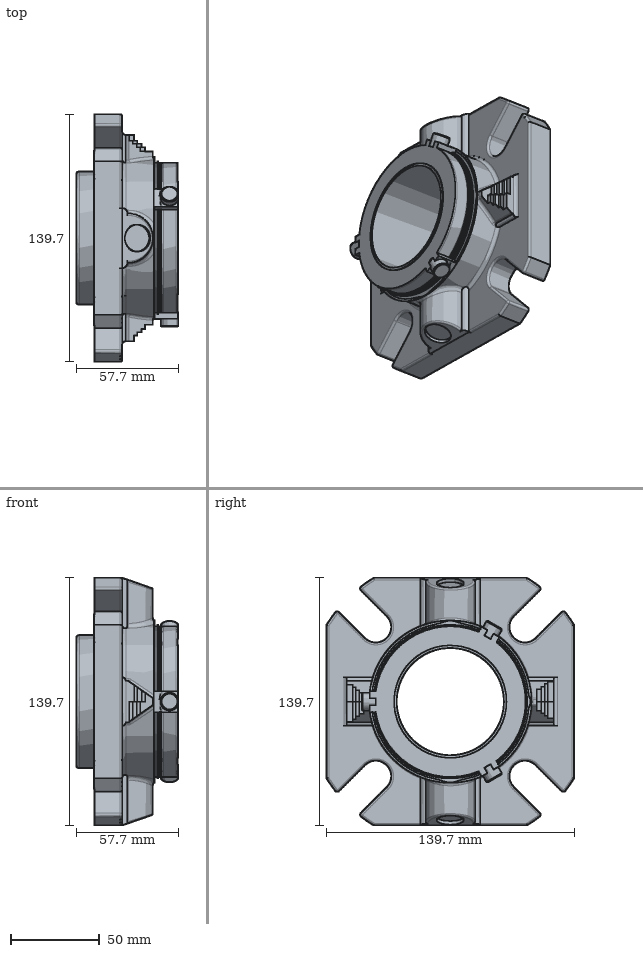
import cadquery as cq
import math


total_length = 57.7
bore_dia = 60.4
nose_dia = 75.2
nose_round = 1.7
sleeve_neck_dia = 64.0
sleeve_end_dia = 63.4

flange_size = 139.7
flange_corner_radius = 82.1
flange_front = 10.3
flange_back = 26.0
flange_back_round = 1.3
slot_width = 17.3
slot_center_offset = 42.0
slot_tip_round = 1.4
pad_dia = 98.5
pad_height = 0.4

hub_radius = 44.4
hub_end = 43.9
hub_root_radius = 2.0
hub_lip_radius = 45.8
hub_lip_thickness = 0.4

port_radius = 14.0
port_center_x = 29.3
port_root_radius = 3.0
port_slope = math.radians(19.2)
port_edge_round = 1.1
port_recess_dia = 15.2
port_recess_depth = 2.1
port_recess_x = 34.6

wedge_half_width = 11.7
wedge_tip_half_width = 2.0
wedge_shoulder_x = 29.3
wedge_tip_x = 43.3
wedge_root_radius = 2.0
highest_step_height = 58.3
step_heights = [55.0, 53.2, 51.3, 48.9]
step_ends = [32.7, 34.5, 36.9, 38.8]
step_offset = 2.7
wedge_corner_round = 1.1

ring_dia = 85.2
ring_end = 47.1
rib_dia = 86.8
rib_start = 45.7
rib_width = 0.5
collar_start = 48.0
collar_end = 57.3
collar_edge_length = 1.0
collar_edge_depth = 0.1

clip_count = 3
clip_width = 11.7
clip_inner_radius = 41.9
clip_flat_radius = 45.4
clip_bend_start = 47.0
clip_bend_end = 48.3
screw_head_dia = 10.0
screw_head_top = 50.0
screw_head_chamfer = 0.5
screw_x = total_length - screw_head_dia / 2

tolerance = 0.01


def disc(radius, start, end):
    """Cylinder about the X axis."""
    return cq.Workplane("YZ").workplane(offset=start).circle(radius).extrude(end - start)


def make_flange():
    """Square plate with rounded-off corners, open diagonal slots and a raised mounting pad."""
    thickness = flange_back - flange_front
    plate = (
        cq.Workplane("YZ")
        .workplane(offset=flange_front)
        .rect(flange_size, flange_size)
        .extrude(thickness)
        .intersect(disc(flange_corner_radius, flange_front, flange_back))
    )
    slot_center = slot_center_offset * math.sqrt(2)
    slot_length = flange_size / 2
    slot = disc(slot_width / 2, flange_front, flange_back).translate((0, slot_center, 0))
    slot = slot.union(
        cq.Workplane("YZ")
        .workplane(offset=flange_front)
        .center(slot_center + slot_length / 2, 0)
        .rect(slot_length, slot_width)
        .extrude(thickness)
    )
    for corner in range(4):
        plate = plate.cut(slot.rotate((0, 0, 0), (1, 0, 0), 45 + 90 * corner))
    tips = [
        edge
        for edge in plate.edges("|X").vals()
        if abs(math.hypot(edge.Center().y, edge.Center().z) - flange_corner_radius) < tolerance
        and max(abs(edge.Center().y), abs(edge.Center().z)) < flange_size / 2 - tolerance
    ]
    plate = plate.newObject(tips).fillet(slot_tip_round)
    plate = plate.faces(">X").edges().fillet(flange_back_round)
    return plate.union(disc(pad_dia / 2, flange_front - pad_height, flange_front))


def make_hub_root():
    """Ring that rounds the inside corner between the hub and the flange."""
    root_end = flange_back + hub_root_radius
    return (
        cq.Workplane("XY")
        .moveTo(flange_front, 0)
        .lineTo(flange_front, hub_radius + hub_root_radius)
        .lineTo(flange_back, hub_radius + hub_root_radius)
        .radiusArc((root_end, hub_radius), -hub_root_radius)
        .lineTo(root_end, 0)
        .close()
        .revolve(360, (0, 0, 0), (1, 0, 0))
    )


def blend_onto_hub(boss, radius):
    """Joins a boss to the hub, rounding the seam; the hub end trims the rounding."""
    joined = disc(hub_radius, flange_back, hub_end + 2 * radius).union(boss)
    seam = []
    for edge in joined.edges().vals():
        points = edge.positions([0, 0.3, 0.6, 1])
        on_hub = all(abs(math.hypot(point.y, point.z) - hub_radius) < tolerance for point in points)
        reach = max(point.x for point in points)
        if on_hub and flange_back + tolerance < reach < hub_end:
            seam.append(edge)
    return joined.newObject(seam).fillet(radius).intersect(disc(flange_size, flange_back, hub_end))


def make_root(half_width, radius, height):
    """Foot along +Z that flares a boss out onto the flange in two quarter rounds.

    It reaches into the flange far enough to fill the rounded flange edge behind the boss.
    """
    flare_end = flange_back + radius
    base = flange_back - flange_back_round
    outer_half_width = half_width + radius
    return (
        cq.Workplane("XY")
        .moveTo(base, -outer_half_width)
        .lineTo(flange_back, -outer_half_width)
        .radiusArc((flare_end, -half_width), -radius)
        .lineTo(flare_end, half_width)
        .radiusArc((flange_back, outer_half_width), -radius)
        .lineTo(base, outer_half_width)
        .close()
        .extrude(height)
    )


def make_port():
    """Round-ended boss on the +Z side of the hub, cut off by a slope and recessed for a plug."""
    top_plane = cq.Plane(
        origin=(flange_back, 0, flange_size / 2),
        xDir=(math.cos(port_slope), 0, -math.sin(port_slope)),
        normal=(math.sin(port_slope), 0, math.cos(port_slope)),
    )
    above = cq.Workplane(top_plane).rect(2 * flange_size, flange_size).extrude(flange_size)
    boss = (
        cq.Workplane("XY")
        .moveTo(flange_back, -port_radius)
        .lineTo(port_center_x, -port_radius)
        .threePointArc((port_center_x + port_radius, 0), (port_center_x, port_radius))
        .lineTo(flange_back, port_radius)
        .close()
        .extrude(flange_size)
        .cut(above)
    )
    root = make_root(port_radius, port_root_radius, flange_size / 2).cut(above)
    recess_distance = (port_recess_x - flange_back) / math.cos(port_slope)
    recess = (
        cq.Workplane(top_plane)
        .center(recess_distance, 0)
        .circle(port_recess_dia / 2)
        .extrude(-port_recess_depth)
    )
    rim = boss.faces(cq.selectors.DirectionMinMaxSelector(top_plane.zDir, True))
    boss = rim.edges("not(<X)").fillet(port_edge_round)
    return blend_onto_hub(boss, port_root_radius).union(root).cut(recess)


def make_wedge():
    """Triangular boss on the +Z side of the hub, with a flight of steps offset at the middle."""
    boss = (
        cq.Workplane("XY")
        .moveTo(flange_back, -wedge_half_width)
        .lineTo(wedge_shoulder_x, -wedge_half_width)
        .lineTo(wedge_tip_x, -wedge_tip_half_width)
        .lineTo(wedge_tip_x, wedge_tip_half_width)
        .lineTo(wedge_shoulder_x, wedge_half_width)
        .lineTo(flange_back, wedge_half_width)
        .close()
        .extrude(highest_step_height)
        .edges("|Z and (not <X)")
        .fillet(wedge_corner_round)
    )
    body = blend_onto_hub(boss, wedge_root_radius)
    root_end = flange_back + wedge_root_radius
    end_flare = (
        cq.Workplane("XZ")
        .moveTo(flange_back, 0)
        .lineTo(flange_back, highest_step_height + wedge_root_radius)
        .radiusArc((root_end, highest_step_height), -wedge_root_radius)
        .lineTo(root_end, 0)
        .close()
        .extrude(flange_size, both=True)
    )
    root = make_root(wedge_half_width, wedge_root_radius, highest_step_height + wedge_root_radius)
    body = body.union(root.intersect(end_flare))
    clearance_length = hub_end
    for side, offset in ((1, 0), (-1, step_offset)):
        for end, height in zip(step_ends, step_heights):
            clearance = (
                cq.Workplane("XY")
                .workplane(offset=height)
                .moveTo(end - offset, 0)
                .rect(clearance_length, side * flange_size, centered=False)
                .extrude(flange_size)
            )
            body = body.cut(clearance)
    return body


def make_collar():
    """Drive collar with a slight bevel along both outer edges."""
    edge_radius = ring_dia / 2 - collar_edge_depth
    return (
        cq.Workplane("XY")
        .moveTo(collar_start, 0)
        .lineTo(collar_start, edge_radius)
        .lineTo(collar_start + collar_edge_length, ring_dia / 2)
        .lineTo(collar_end - collar_edge_length, ring_dia / 2)
        .lineTo(collar_end, edge_radius)
        .lineTo(collar_end, 0)
        .close()
        .revolve(360, (0, 0, 0), (1, 0, 0))
    )


def make_clip():
    """Clip on the -Y side joining the gland ring to the collar, with its screw head."""
    arm = (
        cq.Workplane("XY")
        .moveTo(hub_end, -clip_inner_radius)
        .lineTo(collar_end, -clip_inner_radius)
        .lineTo(collar_end, -clip_flat_radius)
        .lineTo(clip_bend_end, -clip_flat_radius)
        .lineTo(clip_bend_start, -hub_lip_radius)
        .lineTo(hub_end, -hub_lip_radius)
        .close()
        .extrude(clip_width / 2, both=True)
        .intersect(disc(hub_lip_radius, hub_end, collar_end))
    )
    head = (
        cq.Workplane("XZ")
        .workplane(offset=clip_inner_radius)
        .center(screw_x, 0)
        .circle(screw_head_dia / 2)
        .extrude(screw_head_top - clip_inner_radius)
        .faces("<Y")
        .chamfer(screw_head_chamfer)
    )
    return arm.union(head)


port = make_port()
wedge = make_wedge()
housing = make_flange().union(make_hub_root())
for turn in (0, 180):
    housing = housing.union(port.rotate((0, 0, 0), (1, 0, 0), turn))
    housing = housing.union(wedge.rotate((0, 0, 0), (1, 0, 0), turn + 90))

lip_end = hub_end + hub_lip_thickness
nose = disc(nose_dia / 2, 0, flange_front).faces("<X").edges().fillet(nose_round)
result = (
    housing.union(nose)
    .union(disc(hub_lip_radius, hub_end, lip_end))
    .union(disc(ring_dia / 2, lip_end, ring_end))
    .union(disc(rib_dia / 2, rib_start, rib_start + rib_width))
    .union(disc(sleeve_neck_dia / 2, ring_end, collar_start))
    .union(make_collar())
    .union(disc(sleeve_end_dia / 2, collar_end, total_length))
)
clip = make_clip()
for index in range(clip_count):
    result = result.union(clip.rotate((0, 0, 0), (1, 0, 0), 360 / clip_count * index))
result = result.cut(disc(bore_dia / 2, 0, total_length))